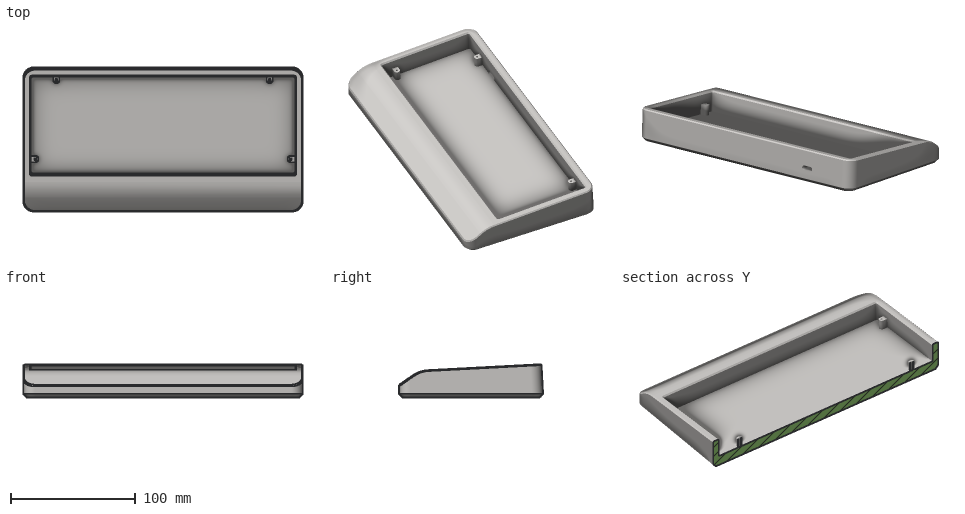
import cadquery as cq
import math

LENGTH = 224.5
DEPTH = 115.9
BACK_HEIGHT = 27.0
TILT = 3.0
FRONT_SLOPE = 35.0
CREST_Y = -41.0
CREST_RADIUS = 23.5
CORNER_RADIUS = 9.0
BASE_CHAMFER = 3.1
RIM_CHAMFER = 1.0

POCKET_HALF_LENGTH = 106.0
POCKET_BACK = 50.3
POCKET_FRONT = -28.0
POCKET_DEPTH = 17.0
POCKET_CORNER_RADIUS = 1.3
MOUTH_CHAMFER = 1.1

POST_RADIUS = 2.5
POST_HOLE_DIAMETER = 1.6
POST_HEIGHT = 8.3
BACK_POST_X = 85.5
BACK_POST_INSET = 3.1
SIDE_POST_Y = -16.5
SIDE_POST_INSET = 3.5
WEB_OVERLAP = 0.7

CABLE_X = -66.7
CABLE_SLOT_WIDTH = 10.5
CABLE_SLOT_HEIGHT = 3.8
CABLE_REACH = 0.5

tilt_tan = math.tan(math.radians(TILT))
slope_tan = math.tan(math.radians(FRONT_SLOPE))
half_depth = DEPTH / 2
back_top_y = half_depth - (BACK_HEIGHT - BASE_CHAMFER) * tilt_tan
back_base_y = half_depth + BASE_CHAMFER * tilt_tan
back_top_z = BACK_HEIGHT + RIM_CHAMFER * math.sin(math.radians(TILT))
crest_z = back_top_z - (back_top_y - CREST_Y) * tilt_tan
front_top_z = crest_z - (CREST_Y + half_depth) * slope_tan

top_frame = cq.Plane(
    origin=(0, 0, back_top_z - back_top_y * tilt_tan),
    xDir=(1, 0, 0),
    normal=(0, -math.sin(math.radians(TILT)), math.cos(math.radians(TILT))),
)


def make_body():
    body = (
        cq.Workplane("YZ", origin=(-LENGTH / 2, 0, 0))
        .polyline([
            (-half_depth, 0),
            (back_base_y, 0),
            (back_top_y, back_top_z),
            (CREST_Y, crest_z),
            (-half_depth, front_top_z),
        ])
        .close()
        .extrude(LENGTH)
    )
    crest = cq.selectors.NearestToPointSelector((0, CREST_Y, crest_z))
    body = body.edges(crest).fillet(CREST_RADIUS)
    front_corners = body.faces("<Y").edges("|Z")
    back_corners = body.faces(">Y").edges("not |X")
    body = body.newObject(front_corners.vals() + back_corners.vals()).fillet(CORNER_RADIUS)
    body = body.faces("<Z").chamfer(BASE_CHAMFER)
    top_back_edge = cq.selectors.NearestToPointSelector((0, back_top_y, back_top_z))
    return body.edges(top_back_edge).chamfer(RIM_CHAMFER)


def pocket_outline(margin):
    """Rounded rectangle on the top face, larger than the pocket by `margin` on every side."""
    return (
        cq.Sketch()
        .push([(0, (POCKET_BACK + POCKET_FRONT) / 2)])
        .rect(2 * (POCKET_HALF_LENGTH + margin), POCKET_BACK - POCKET_FRONT + 2 * margin)
        .reset()
        .vertices()
        .fillet(POCKET_CORNER_RADIUS + margin)
    )


def make_pocket():
    top_face = cq.Workplane(top_frame)
    pocket = top_face.placeSketch(pocket_outline(0)).extrude(-POCKET_DEPTH)
    mouth = top_face.placeSketch(pocket_outline(MOUTH_CHAMFER)).extrude(-MOUTH_CHAMFER, taper=45)
    return pocket.union(mouth)


def make_post(x, y, wall_x, wall_y):
    """Drilled post at (x, y) on the pocket floor, joined to the wall point by a web of its own width."""
    floor = cq.Workplane(top_frame).workplane(offset=-POCKET_DEPTH)
    web_length = math.hypot(wall_x - x, wall_y - y) + WEB_OVERLAP
    web_angle = math.degrees(math.atan2(wall_y - y, wall_x - x))
    post = floor.center(x, y).circle(POST_RADIUS).extrude(POST_HEIGHT)
    web = (
        floor.center(x, y)
        .transformed(rotate=(0, 0, web_angle))
        .center(web_length / 2, 0)
        .rect(web_length, 2 * POST_RADIUS)
        .extrude(POST_HEIGHT)
    )
    hole = floor.center(x, y).circle(POST_HOLE_DIAMETER / 2).extrude(POST_HEIGHT)
    return post.union(web).cut(hole)


def make_cable_slot():
    axis_height = CABLE_SLOT_HEIGHT / 2 - POCKET_DEPTH
    start = top_frame.toWorldCoords((CABLE_X, POCKET_BACK - CABLE_REACH, axis_height))
    slot_frame = cq.Plane(origin=start, xDir=(1, 0, 0), normal=top_frame.yDir)
    return cq.Workplane(slot_frame).slot2D(CABLE_SLOT_WIDTH, CABLE_SLOT_HEIGHT).extrude(half_depth)


result = make_body().cut(make_pocket())
for side in (-1, 1):
    back_x = side * BACK_POST_X
    result = result.union(make_post(back_x, POCKET_BACK - BACK_POST_INSET, back_x, POCKET_BACK))
    wall_x = side * POCKET_HALF_LENGTH
    result = result.union(make_post(wall_x - side * SIDE_POST_INSET, SIDE_POST_Y, wall_x, SIDE_POST_Y))
result = result.cut(make_cable_slot())